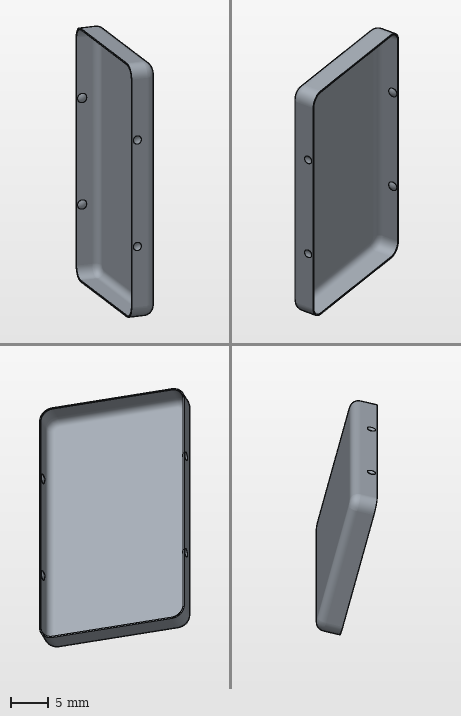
import cadquery as cq

width = 20.4
depth = 3.5
height = 35.7
wall = 0.2
corner_radius = 1.8
floor_radius = 1.2

dimple_radius = 0.8
bump_radius = dimple_radius + wall
detent_centre_offset = 0.55
detent_from_mouth = 0.8
detent_spacing = 15.0


def rounded_block(inset):
    """Tray-shaped block, offset inwards by inset from the outer walls and floor."""
    return (
        cq.Workplane("XZ")
        .rect(width - 2 * inset, height - 2 * inset)
        .extrude(-(depth - inset))
        .edges("|Y")
        .fillet(corner_radius - inset)
        .faces(">Y")
        .edges()
        .fillet(floor_radius - inset)
    )


def detent_ball(radius, z):
    """Ball centred just outside the -X wall."""
    centre = (-width / 2 - detent_centre_offset, detent_from_mouth, z)
    ball = cq.Workplane("XY").sphere(radius).rotate((0, 0, 0), (0, 0, 1), 180)
    return ball.translate(centre)


def bump_cap(z):
    """Inner part of the bump ball, rooted halfway through the -X wall."""
    root_x = -width / 2 + wall / 2
    box_side = 2 * bump_radius
    inward_side = cq.Workplane("XY").box(box_side, box_side, box_side).translate(
        (root_x + box_side / 2, detent_from_mouth, z)
    )
    return detent_ball(bump_radius, z).intersect(inward_side)


def add_detents(tray):
    """Bump out the inner faces of both long walls and hollow the outer faces."""
    for z in (-detent_spacing / 2, detent_spacing / 2):
        bump = bump_cap(z)
        dimple = detent_ball(dimple_radius, z)
        tray = tray.union(bump).union(bump.mirror("YZ"))
        tray = tray.cut(dimple).cut(dimple.mirror("YZ"))
    return tray


shell = rounded_block(0).cut(rounded_block(wall))
result = add_detents(shell)